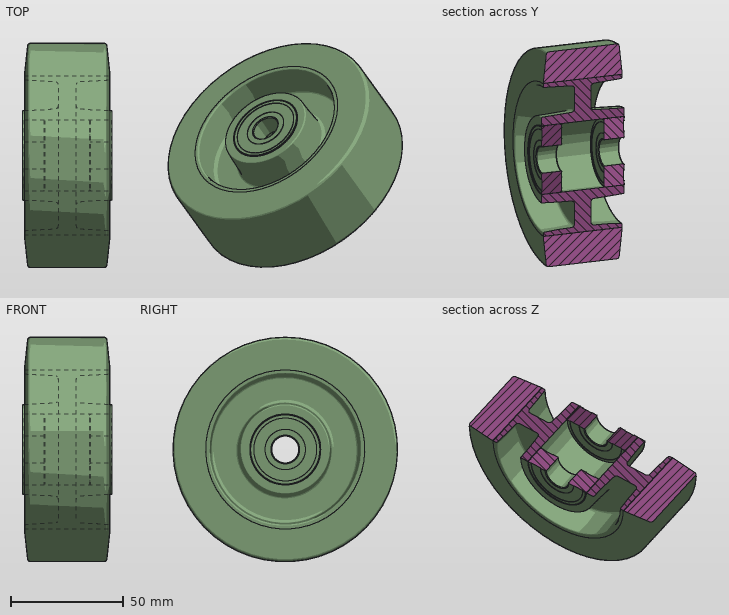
import cadquery as cq


tread_radius = 50.0
tread_corner = 1.4
tread_side_half_width = 17.7
tread_flat_radius = 36.7
tread_bore_radius = 35.4

rim_half_width = 19.0
rim_face_radius = 34.2
rim_mouth_radius = 33.5
rim_root_radius = 32.8
web_half_width = 4.0
web_fillet = 1.5
hub_half_width = 20.0
hub_radius = 20.0
hub_root_radius = 20.7
hub_edge = 0.6

bearing_radius = 15.8
bearing_bore_radius = 6.0
bearing_width = 10.0
bearing_chamfer = 0.4
outer_ring_inner_radius = 14.0
inner_ring_outer_radius = 9.0
shield_recess = 0.2


def revolve_about_x(profile):
    """Turn an XZ profile (X along the axis, Z as radius) into a solid."""
    return profile.close().revolve(360, (0, 0, 0), (1, 0, 0))


def make_tread():
    running_half_width = tread_side_half_width - tread_corner
    shoulder_radius = tread_radius - tread_corner
    profile = (
        cq.Workplane("XZ")
        .moveTo(-rim_half_width, tread_bore_radius)
        .lineTo(rim_half_width, tread_bore_radius)
        .lineTo(rim_half_width, tread_flat_radius)
        .lineTo(tread_side_half_width, shoulder_radius)
        .radiusArc((running_half_width, tread_radius), -tread_corner)
        .lineTo(-running_half_width, tread_radius)
        .radiusArc((-tread_side_half_width, shoulder_radius), -tread_corner)
        .lineTo(-rim_half_width, tread_flat_radius)
    )
    return revolve_about_x(profile)


def make_core():
    rim_edge = rim_face_radius - rim_mouth_radius
    fillet_end = web_half_width + web_fillet
    profile = (
        cq.Workplane("XZ")
        .moveTo(0, bearing_radius)
        .lineTo(hub_half_width, bearing_radius)
        .lineTo(hub_half_width, hub_radius - hub_edge)
        .radiusArc((hub_half_width - hub_edge, hub_radius), -hub_edge)
        .lineTo(fillet_end, hub_root_radius)
        .radiusArc((web_half_width, hub_root_radius + web_fillet), web_fillet)
        .lineTo(web_half_width, rim_root_radius - web_fillet)
        .radiusArc((fillet_end, rim_root_radius), web_fillet)
        .lineTo(rim_half_width - rim_edge, rim_mouth_radius)
        .radiusArc((rim_half_width, rim_face_radius), -rim_edge)
        .lineTo(rim_half_width, tread_bore_radius)
        .lineTo(0, tread_bore_radius)
    )
    half_core = revolve_about_x(profile)
    return half_core.union(half_core.mirror("YZ")).clean()


def make_bearing(side):
    """Bearing flush with the hub end at +X (side = 1) or -X (side = -1)."""
    center = side * (hub_half_width - bearing_width / 2)
    bearing = (
        cq.Workplane("YZ", origin=(center - bearing_width / 2, 0, 0))
        .circle(bearing_radius)
        .circle(bearing_bore_radius)
        .extrude(bearing_width)
        .faces("<X or >X")
        .edges()
        .chamfer(bearing_chamfer)
    )
    for face_direction in (-1, 1):
        shield_face = center + face_direction * (bearing_width / 2 - shield_recess)
        recess = (
            cq.Workplane("YZ", origin=(shield_face, 0, 0))
            .circle(outer_ring_inner_radius)
            .circle(inner_ring_outer_radius)
            .extrude(face_direction * shield_recess)
        )
        bearing = bearing.cut(recess)
    return bearing


tread = make_tread()
core = make_core()
bearings = [make_bearing(side) for side in (-1, 1)]

result = cq.Compound.makeCompound(
    [tread.val(), core.val(), *[bearing.val() for bearing in bearings]]
)